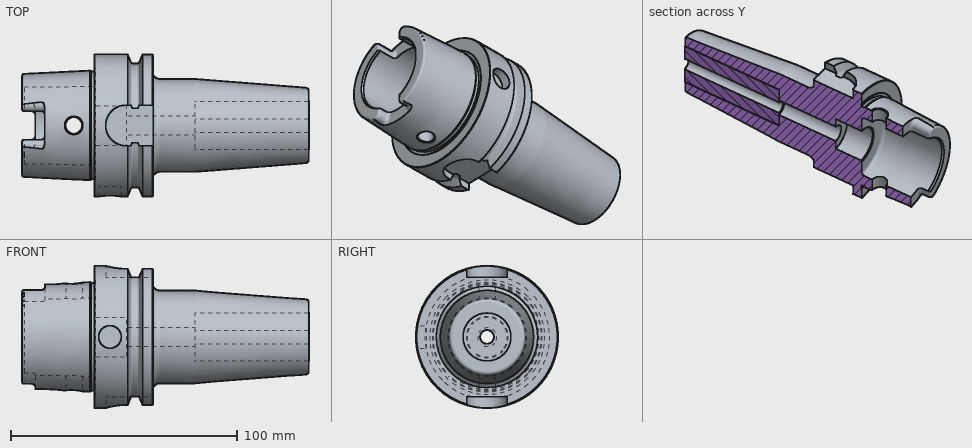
import cadquery as cq
import math


shank_length = 32.0
shank_end_radius = 22.8
taper_slope = 0.05
land_start = -2.0
relief_start = -1.3
relief_radius = 23.9
face_recess_radius = 25.4
face_recess_depth = 0.3
shank_end_round = 1.0

flange_radius = 31.5
flange_width = 26.0
flange_front_chamfer = 0.2
flange_rear_chamfer = 0.4
groove_centre = 18.0
groove_floor_radius = 27.5
groove_top_half_width = 3.3
groove_floor_half_width = 1.6
groove_floor_round = 0.8

neck_radius = 20.6
neck_blend_length = 3.0
neck_blend_height = 1.8
cone_start = 44.4
cone_angle = 4.5
nose_end = 94.8
nose_end_round = 1.5

mouth_radius = 17.4
mouth_chamfer_length = 1.0
cavity_radius = 17.0
clamp_land_end = -19.0
clamp_relief_end = -8.5
clamp_relief_radius = 17.3
cavity_floor = 0.0
cavity_floor_round = 1.5
tube_bore_radius = 8.8
tube_bore_end = 14.0
tube_bore_chamfer = 0.4
passage_radius = 4.2

slot_half_width = 6.25
slot_wall_top = 18.2
slot_shelf_height = 20.8
slot_corner_round = 1.5
upper_slot_depth = 10.1
lower_slot_depth = 5.8

keyway_width = 18.0
keyway_start = 5.0
keyway_floor_height = 26.4

cross_hole_x = -9.1
cross_hole_diameter = 7.3
cross_hole_chamfer = 0.4
chip_hole_x = 6.9
chip_hole_diameter = 10.0
chip_hole_depth = 4.6

sleeve_radius = 10.6
sleeve_bore_radius = 3.0
sleeve_start = cone_start
sleeve_protrusion = 0.1

clearance = 5.0


def turned(profile):
    """Close a profile drawn as (X, radius) and revolve it about the X axis."""
    return profile.close().revolve(360, (0, 0, 0), (1, 0, 0))


def make_outer_body():
    land_radius = shank_end_radius + taper_slope * (shank_length + land_start)
    nose_radius = neck_radius - (nose_end - cone_start) * math.tan(math.radians(cone_angle))
    blend_end = flange_width + neck_blend_length
    return turned(
        cq.Workplane("XY")
        .moveTo(-shank_length, 0)
        .lineTo(-shank_length, shank_end_radius)
        .lineTo(land_start, land_radius)
        .lineTo(relief_start, relief_radius)
        .lineTo(face_recess_depth, relief_radius)
        .lineTo(face_recess_depth, face_recess_radius)
        .lineTo(0, face_recess_radius)
        .lineTo(0, flange_radius - flange_front_chamfer)
        .lineTo(flange_front_chamfer, flange_radius)
        .lineTo(flange_width - flange_rear_chamfer, flange_radius)
        .lineTo(flange_width, flange_radius - flange_rear_chamfer)
        .lineTo(flange_width, neck_radius)
        .lineTo(cone_start, neck_radius)
        .lineTo(nose_end, nose_radius)
        .lineTo(nose_end, 0)
    ).faces(">X").edges().fillet(nose_end_round).union(make_neck_blend(blend_end))


def make_neck_blend(blend_end):
    """Concave ring joining the flange to the neck, tangent to the neck."""
    blend_radius = (neck_blend_length**2 + neck_blend_height**2) / (2 * neck_blend_height)
    half_angle = math.asin(neck_blend_length / blend_radius) / 2
    middle_x = blend_end - blend_radius * math.sin(half_angle)
    middle_radius = neck_radius + blend_radius * (1 - math.cos(half_angle))
    return turned(
        cq.Workplane("XY")
        .moveTo(flange_width, neck_radius - clearance)
        .lineTo(flange_width, neck_radius + neck_blend_height)
        .threePointArc((middle_x, middle_radius), (blend_end, neck_radius))
        .lineTo(blend_end, neck_radius - clearance)
    )


def make_gripper_groove():
    groove = turned(
        cq.Workplane("XY")
        .moveTo(groove_centre - groove_top_half_width, flange_radius)
        .lineTo(groove_centre - groove_floor_half_width, groove_floor_radius)
        .lineTo(groove_centre + groove_floor_half_width, groove_floor_radius)
        .lineTo(groove_centre + groove_top_half_width, flange_radius)
        .lineTo(groove_centre + groove_top_half_width, flange_radius + clearance)
        .lineTo(groove_centre - groove_top_half_width, flange_radius + clearance)
    )
    floor_edge_box = cq.selectors.BoxSelector(
        (groove_centre - groove_top_half_width + 1, -1, -1),
        (groove_centre + groove_top_half_width - 1, 1, 1),
    )
    return groove.edges(floor_edge_box).edges("%CIRCLE").fillet(groove_floor_round)


def make_cavity():
    cavity = turned(
        cq.Workplane("XY")
        .moveTo(-shank_length, 0)
        .lineTo(-shank_length, mouth_radius)
        .lineTo(-shank_length + mouth_chamfer_length, cavity_radius)
        .lineTo(clamp_land_end, cavity_radius)
        .lineTo(clamp_relief_end, clamp_relief_radius)
        .lineTo(cavity_floor, clamp_relief_radius)
        .lineTo(cavity_floor, 0)
    )
    return cavity.faces(">X").edges().fillet(cavity_floor_round)


def make_tube_bore_and_passage():
    return turned(
        cq.Workplane("XY")
        .moveTo(cavity_floor, 0)
        .lineTo(cavity_floor, tube_bore_radius + tube_bore_chamfer)
        .lineTo(cavity_floor + tube_bore_chamfer, tube_bore_radius)
        .lineTo(tube_bore_end, tube_bore_radius)
        .lineTo(tube_bore_end, passage_radius)
        .lineTo(sleeve_start, passage_radius)
        .lineTo(sleeve_start, 0)
    )


def make_sleeve_pocket():
    return (
        cq.Workplane("YZ", origin=(sleeve_start, 0, 0))
        .circle(sleeve_radius)
        .extrude(nose_end - sleeve_start + clearance)
    )


def make_drive_slot(depth):
    """Upward slot cutter whose walls turn outward into flat shelves."""
    flare = slot_shelf_height - slot_wall_top
    diagonal = flare * (1 - math.sqrt(0.5))
    outer = shank_end_radius + clearance
    shelf_y = slot_half_width + flare
    slot = (
        cq.Workplane("YZ", origin=(-shank_length - clearance, 0, 0))
        .moveTo(-slot_half_width, 0)
        .lineTo(-slot_half_width, slot_wall_top)
        .threePointArc((-slot_half_width - diagonal, slot_shelf_height - diagonal),
                       (-shelf_y, slot_shelf_height))
        .lineTo(-outer, slot_shelf_height)
        .lineTo(-outer, outer)
        .lineTo(outer, outer)
        .lineTo(outer, slot_shelf_height)
        .lineTo(shelf_y, slot_shelf_height)
        .threePointArc((slot_half_width + diagonal, slot_shelf_height - diagonal),
                       (slot_half_width, slot_wall_top))
        .lineTo(slot_half_width, 0)
        .close()
        .extrude(depth + clearance)
    )
    wall_box = cq.selectors.BoxSelector(
        (-shank_length, -outer + 1, 1),
        (0, outer - 1, slot_shelf_height + 1),
    )
    return slot.faces(">X").edges(wall_box).fillet(slot_corner_round)


def make_keyway():
    radius = keyway_width / 2
    length = flange_width + clearance - keyway_start
    depth = flange_radius - keyway_floor_height + clearance
    centre_x = keyway_start + length / 2
    slot = (
        cq.Workplane("XY", origin=(centre_x, 0, keyway_floor_height))
        .rect(length, keyway_width)
        .extrude(depth)
    )
    return slot.edges("|Z and <X").fillet(radius - 0.001)


def cut_cross_hole(body):
    """Through hole along Z, chamfered on both sides where it leaves the taper."""
    hole_radius = cross_hole_diameter / 2
    hole = (
        cq.Workplane("XY", origin=(cross_hole_x, 0, 0))
        .circle(hole_radius)
        .extrude(shank_end_radius + clearance, both=True)
    )
    body = body.cut(hole)
    for side in (1, -1):
        rim = cq.selectors.BoxSelector(
            (cross_hole_x - hole_radius, -hole_radius, side * (clamp_relief_radius + 1)),
            (cross_hole_x + hole_radius, hole_radius, side * (relief_radius + 1)),
        )
        body = body.edges(rim).chamfer(cross_hole_chamfer)
    return body


def make_chip_hole():
    return (
        cq.Workplane("XZ", origin=(chip_hole_x, -(flange_radius - chip_hole_depth), 0))
        .circle(chip_hole_diameter / 2)
        .extrude(chip_hole_depth + clearance)
    )


def round_shank_end(body):
    """Round the outer rim of the end face and the slot edges that open into it."""
    return body.faces("<X").edges().fillet(shank_end_round)


def make_housing():
    body = make_outer_body()
    body = body.cut(make_gripper_groove())
    body = body.cut(make_drive_slot(upper_slot_depth))
    body = body.cut(make_drive_slot(lower_slot_depth).mirror("XY"))
    body = round_shank_end(body)
    body = body.cut(make_cavity())
    body = cut_cross_hole(body)
    keyway = make_keyway()
    body = body.cut(keyway).cut(keyway.mirror("XY"))
    body = body.cut(make_tube_bore_and_passage())
    body = body.cut(make_sleeve_pocket())
    return body.cut(make_chip_hole())


def make_sleeve():
    return (
        cq.Workplane("YZ", origin=(sleeve_start, 0, 0))
        .circle(sleeve_radius)
        .circle(sleeve_bore_radius)
        .extrude(nose_end + sleeve_protrusion - sleeve_start)
    )


housing = make_housing()
sleeve = make_sleeve()
result = cq.Compound.makeCompound([housing.val(), sleeve.val()])